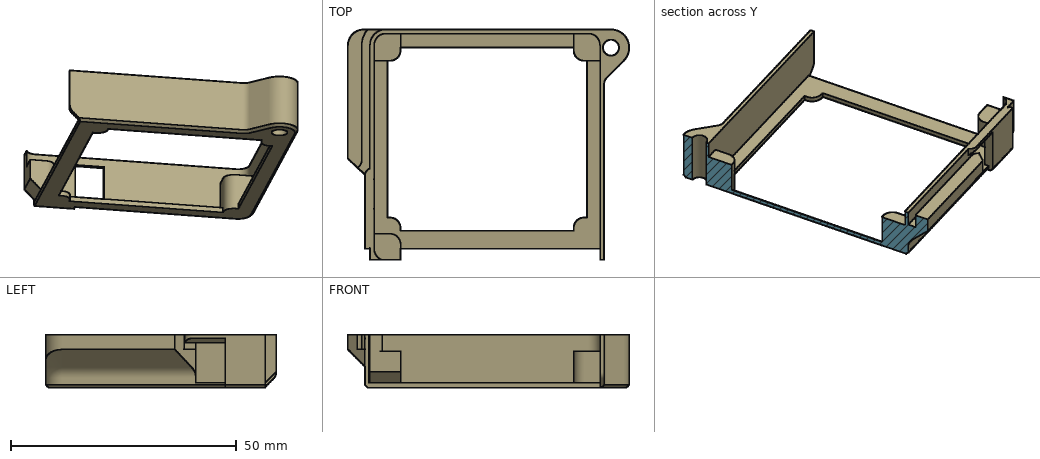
import cadquery as cq
import math

length = 62.3
depth = 51.0
height = 11.8

wall = 0.95
floor_top = 1.1
floor_front = 2.4
bottom_chamfer = 0.6
body_left = 4.9
pocket_left = body_left + wall
pocket_right = 55.8
body_right = pocket_right + wall
pocket_back = depth - wall
pocket_front = -0.1
pocket_radius = 2.55
outer_radius = pocket_radius + wall
corner_x = body_left + outer_radius
corner_y = depth - outer_radius

opening_left = 8.85
opening_right = 52.9
opening_front = 6.5
opening_back = 46.95
pad_side = 5.85
pad_radius = 2.35
pad_back = 9.4
back_post_front = 44.05
front_post_back = 5.8
post_top = 8.05

ear_radius = 4.05
ear_hole_diameter = 3.5
ear_x = length - ear_radius
ear_y = depth - ear_radius
ear_root_radius = 1.85

hook_underside = 8.5
hook_radius = 3.6
hook_end = 22.4
hook_root_radius = 3.1
slot_width = 1.8
slot_mouth = 22.2
slot_mouth_radius = 2.1

block_left = 3.8
block_relief = 0.25
window_front = 11.35
window_back = 17.8
window_top = 9.95
bar_lip = 10.95
bar_back = 20.4
bar_radius = 1.85

wall_relief_start = 0.2
wall_relief_radius = 1.85

SIN45 = math.sqrt(0.5)
TAN22 = math.tan(math.radians(22.5))


def box(x0, x1, y0, y1, z0, z1):
    """Block between two positions along each axis."""
    return cq.Workplane("XY").box(x1 - x0, y1 - y0, z1 - z0, centered=False).translate((x0, y0, z0))


def make_body():
    """Outer block with the ear, chamfered below on all sides but the front."""
    tangent = ear_radius * SIN45
    ear_foot_y = ear_y - tangent - (ear_x + tangent - body_right)
    root = ear_root_radius * TAN22
    mid = outer_radius * SIN45
    outline = (
        cq.Workplane("XY")
        .moveTo(body_left, 0)
        .lineTo(body_left, corner_y)
        .threePointArc((corner_x - mid, corner_y + mid), (corner_x, depth))
        .lineTo(ear_x, depth)
        .threePointArc((length, ear_y), (ear_x + tangent, ear_y - tangent))
        .lineTo(body_right + root * SIN45, ear_foot_y + root * SIN45)
        .tangentArcPoint((body_right, ear_foot_y - root), relative=False)
        .lineTo(body_right, 0)
        .close()
    )
    body = outline.extrude(height).faces("<Z").edges("not <Y").chamfer(bottom_chamfer)
    hole = cq.Workplane("XY").center(ear_x, ear_y).circle(ear_hole_diameter / 2).extrude(height)
    return body.cut(hole)


def make_block():
    """Thicker wall in front of the window, with a small relief where it meets the frame."""
    block = box(block_left, pocket_left, floor_front, window_front, 0, height)
    block = block.edges("|Y and <X and <Z").chamfer(bottom_chamfer)
    relief = (
        cq.Workplane("XY", origin=(body_left, floor_front, floor_top))
        .polyline([(0, 0), (0, block_relief), (-block_relief, 0)])
        .close()
        .extrude(height - floor_top)
    )
    return block.cut(relief)


def make_bar():
    """Bar above the window with a sloped underside and a rounded back end."""
    bar = (
        cq.Workplane("XZ", origin=(0, bar_back, 0))
        .polyline([
            (block_left, height),
            (block_left, bar_lip),
            (body_left, window_top),
            (pocket_left, window_top),
            (pocket_left, height),
        ])
        .close()
        .extrude(bar_back - window_front)
    )
    limits = box(block_left, pocket_left, window_front, bar_back, 0, height)
    return bar.intersect(limits.edges("|Z and <X and >Y").fillet(bar_radius))


def hook_section():
    """(X, Z) section of hook and wall at the start of the back corner."""
    root = hook_root_radius * TAN22
    root_x = body_left - root * SIN45
    return (
        cq.Workplane("XZ", origin=(0, corner_y, 0))
        .moveTo(0, height)
        .lineTo(0, hook_underside)
        .lineTo(root_x, hook_underside - root_x)
        .tangentArcPoint((body_left, hook_underside - body_left - root), relative=False)
        .lineTo(pocket_left, hook_underside - body_left - root)
        .lineTo(pocket_left, height)
        .close()
    )


def make_hook():
    """Overhanging hook along the left wall, following the back corner of the frame."""
    straight = hook_section().extrude(corner_y)
    corner = hook_section().revolve(90, (corner_x, 0), (corner_x, -1))
    mid = hook_radius * SIN45
    limits = (
        cq.Workplane("XY")
        .moveTo(0, hook_end)
        .lineTo(0, depth - hook_radius)
        .threePointArc((hook_radius - mid, depth - hook_radius + mid), (hook_radius, depth))
        .lineTo(corner_x, depth)
        .lineTo(corner_x, window_back)
        .lineTo(body_left, window_back)
        .close()
        .extrude(height)
    )
    return straight.union(corner).intersect(limits).cut(make_slot())


def make_slot():
    """Open-topped slot between hook and wall, running out at the back and at the hook end."""
    slot_left = body_left - slot_width
    slot_radius = outer_radius + slot_width
    inner_mid = outer_radius * SIN45
    outer_mid = slot_radius * SIN45
    mouth_mid = slot_mouth_radius * (1 - SIN45)
    return (
        cq.Workplane("XY", origin=(0, 0, hook_underside))
        .moveTo(body_left, window_back)
        .lineTo(body_left, corner_y)
        .threePointArc((corner_x - inner_mid, corner_y + inner_mid), (corner_x, depth))
        .lineTo(corner_x, corner_y + slot_radius)
        .threePointArc((corner_x - outer_mid, corner_y + outer_mid), (slot_left, corner_y))
        .lineTo(slot_left, slot_mouth)
        .threePointArc(
            (slot_left - mouth_mid, slot_mouth - slot_mouth_radius * SIN45),
            (slot_left - slot_mouth_radius, slot_mouth - slot_mouth_radius),
        )
        .lineTo(slot_left - slot_mouth_radius, window_back)
        .close()
        .extrude(height - hook_underside)
    )


def make_pad(x, y_front, y_back, top, rounded_edge):
    """Corner block from the underside to the given top with its inner edge rounded."""
    pad = box(x, x + pad_side, y_front, y_back, 0, top)
    return pad.edges("|Z").edges(rounded_edge).fillet(pad_radius)


def make_interior():
    """Space inside the frame, leaving the floor, its corner pads and the posts."""
    pocket = box(pocket_left, pocket_right, pocket_front, pocket_back, floor_top, height)
    pocket = pocket.edges("|Z").edges("<X or >Y").fillet(pocket_radius)
    front_right = box(corner_x, pocket_right, pocket_front, corner_y, floor_top, height)
    opening = box(opening_left, opening_right, opening_front, opening_back, 0, floor_top)
    interior = pocket.union(front_right).union(opening)

    right_pad_x = pocket_right - pad_side
    corners = [
        make_pad(pocket_left, 0, pad_back, floor_top, ">X and >Y"),
        make_pad(right_pad_x, 0, pad_back, floor_top, "<X and >Y"),
        make_pad(pocket_left, pocket_front, front_post_back, post_top, ">X and >Y"),
        make_pad(pocket_left, back_post_front, depth, post_top, ">X and <Y"),
        make_pad(right_pad_x, back_post_front, depth, post_top, "<X and <Y"),
    ]
    for corner in corners:
        interior = interior.cut(corner)
    return interior


def make_front_relief(x0, x1, start_z, radius):
    """Space below a 45 degree slope at the front, its upper edge rounded by the radius."""
    corner_z = start_z + floor_front
    margin = 0.6
    outline = (
        cq.Workplane("YZ", origin=(x0, 0, 0))
        .moveTo(floor_front, -margin)
        .lineTo(floor_front, start_z)
    )
    if radius > 0:
        tangent = radius * TAN22
        outline = (
            outline.lineTo(tangent * SIN45, corner_z - tangent * SIN45)
            .tangentArcPoint((0, corner_z + tangent), relative=False)
            .lineTo(-margin, corner_z + tangent)
        )
    else:
        outline = outline.lineTo(-margin, corner_z + margin)
    return outline.lineTo(-margin, -margin).close().extrude(x1 - x0)


window = box(body_left, pocket_left, window_front, window_back, floor_top, window_top)

result = (
    make_body()
    .union(make_hook())
    .cut(make_interior())
    .cut(window)
    .union(make_block())
    .union(make_bar())
    .cut(make_front_relief(0, pocket_right, floor_top, 0))
    .cut(make_front_relief(pocket_right, length, wall_relief_start, wall_relief_radius))
)